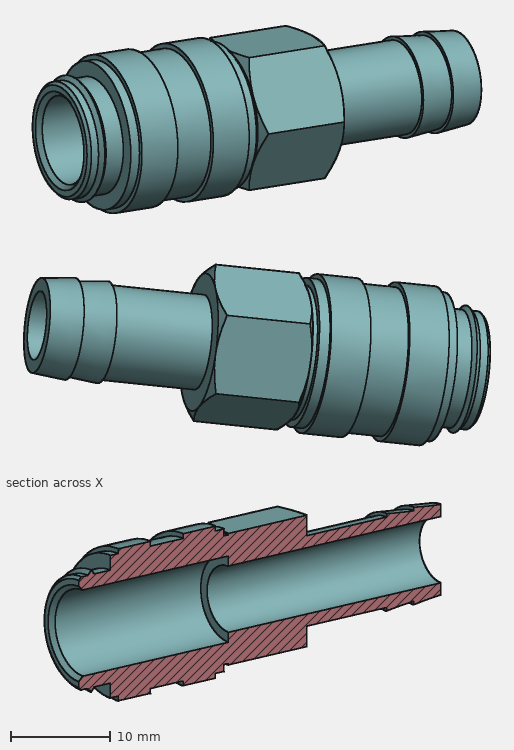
import cadquery as cq
import math


nose_chamfer = 0.3
bead_start = 1.15
bead_peak = 1.6
bead_end = 2.02
sleeve_start = 4.0
front_collar_start = 5.0
rear_collar_start = 13.25
collar_width = 4.15
sleeve_end = 18.5
hex_start = 19.0
hex_end = 29.0
barb_length = 3.45
total_length = 46.0

nose_radius = 6.03
bead_radius = 6.5
sleeve_radius = 7.6
collar_radius = 8.1
neck_radius = 6.85
tail_radius = 4.85
barb_radius = 5.2

hex_flats = 14.0
hex_corners = hex_flats / math.cos(math.radians(30))
hex_chamfer_angle = 30.0

bore_radius = 3.5
socket_radius = 4.55
socket_mouth_radius = 5.05
socket_mouth_depth = socket_mouth_radius - socket_radius
socket_depth = hex_start


def revolve_profile(points):
    """Turn (radius, axial position) points about the Y axis."""
    return cq.Workplane("XY").polyline(points).close().revolve(360, (0, 0, 0), (0, 1, 0))


def cylinder(radius, start, end):
    return revolve_profile([(0, start), (radius, start), (radius, end), (0, end)])


def make_nose():
    return revolve_profile([
        (0, 0),
        (nose_radius - nose_chamfer, 0),
        (nose_radius, nose_chamfer),
        (nose_radius, bead_start),
        (bead_radius, bead_peak),
        (nose_radius, bead_end),
        (nose_radius, sleeve_start),
        (0, sleeve_start),
    ])


def make_sleeve():
    sleeve = cylinder(sleeve_radius, sleeve_start, sleeve_end)
    for start in (front_collar_start, rear_collar_start):
        sleeve = sleeve.union(cylinder(collar_radius, start, start + collar_width))
    return sleeve


def make_hex():
    """Hexagon with corners on X, its ends trimmed by a chamfered cylinder."""
    end_radius = hex_flats / 2
    corner_radius = hex_corners / 2
    chamfer_length = (corner_radius - end_radius) * math.tan(math.radians(hex_chamfer_angle))
    prism = (
        cq.Workplane("XZ", origin=(0, hex_start, 0))
        .polygon(6, hex_corners)
        .extrude(hex_start - hex_end)
    )
    envelope = revolve_profile([
        (0, hex_start),
        (end_radius, hex_start),
        (corner_radius, hex_start + chamfer_length),
        (corner_radius, hex_end - chamfer_length),
        (end_radius, hex_end),
        (0, hex_end),
    ])
    return prism.intersect(envelope)


def make_tail():
    """Plain hose stem ending in two barbs that taper towards the tip."""
    first_barb = total_length - 2 * barb_length
    second_barb = total_length - barb_length
    return revolve_profile([
        (0, hex_end),
        (tail_radius, hex_end),
        (tail_radius, first_barb),
        (barb_radius, first_barb),
        (tail_radius, second_barb),
        (barb_radius, second_barb),
        (tail_radius, total_length),
        (0, total_length),
    ])


def make_bore():
    """Through bore widened at the nose into a socket with a chamfered mouth."""
    return revolve_profile([
        (0, 0),
        (socket_mouth_radius, 0),
        (socket_radius, socket_mouth_depth),
        (socket_radius, socket_depth),
        (bore_radius, socket_depth),
        (bore_radius, total_length),
        (0, total_length),
    ])


neck = cylinder(neck_radius, sleeve_end, hex_start)
body = make_nose().union(make_sleeve()).union(neck).union(make_hex()).union(make_tail())
result = body.cut(make_bore())